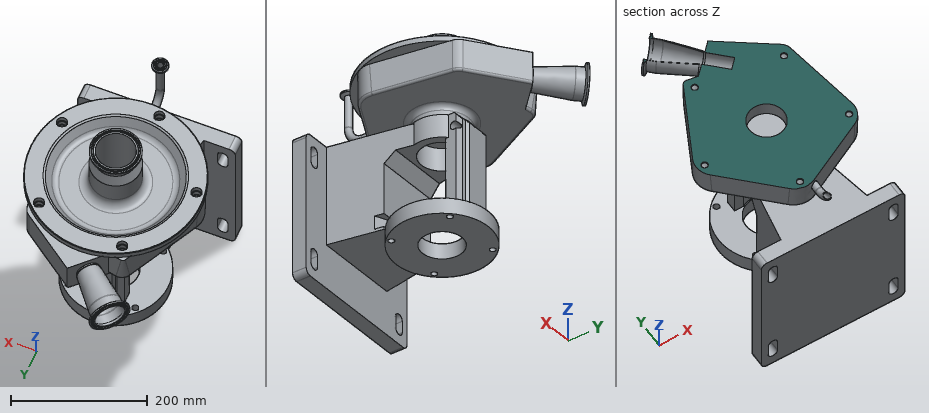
import cadquery as cq
import math


PLATE_SIZE = 250.0
PLATE_THICKNESS = 25.0
PLATE_OUTER_Y = -180.0
PLATE_INNER_Y = PLATE_OUTER_Y + PLATE_THICKNESS
PLATE_CORNER_RADIUS = 10.0
SLOT_LENGTH = 36.0
SLOT_WIDTH = 16.0
SLOT_SPACING_X = 210.0
SLOT_SPACING_Z = 180.0

LANTERN_BORE_RADIUS = 37.5
RING_RADIUS = 51.0
RING_BOTTOM_Z = 212.0
RING_TOP_Z = 252.0
RING_PORT_DIAMETER = 14.0
RING_PORT_Z = 226.0
MOTOR_FLANGE_RADIUS = 83.5
MOTOR_FLANGE_BORE_RADIUS = 35.5
MOTOR_FLANGE_BOTTOM_Z = 55.0
MOTOR_FLANGE_TOP_Z = 82.0
MOTOR_BOLT_CIRCLE_RADIUS = 75.0
MOTOR_BOLT_DIAMETER = 10.0

ARM_HALF_WIDTH_AT_PLATE = 75.0
ARM_TAPER = 0.187
ARM_BOTTOM_Z = 77.0
WINDOW_END_Y = -63.0
WINDOW_CHAMFER = 18.5
BOLT_NOTCH_LENGTH = 15.0
BOLT_NOTCH_DEPTH = 30.0
BOLT_NOTCH_HEIGHT = 23.0

POST_INNER_Y = 32.0
POST_OUTER_Y = 64.7
POST_HALF_WIDTH = 35.0
POST_RIB_HALF_WIDTH = 25.0
POST_STEP = 4.4
POST_SHOULDER_Y = 50.5
POST_TOP_CHAMFER = 17.0
POST_HOLE_DIAMETER = 14.0
POST_HOLE_Y = 47.4
POST_HOLE_Z = 229.5

CASING_BOTTOM_Z = 271.0
CASING_TOP_Z = 325.0
CASING_APOTHEM = 115.0
CASING_CORNER_RADIUS_AT_TOP = 32.0
CASING_CORNER_RADIUS_AT_BOTTOM = 37.0
CASING_BOTTOM_ROUND = 4.0
CASING_FIRST_CORNER_ANGLE = 189.0
CASING_SIDES = 5
BLOCK_SIDE_ANGLE = 54.0
BLOCK_SIDE_APOTHEM = 141.0
BLOCK_CORNER_RADIUS = 20.0
TONGUE_CORNER_RADIUS_AT_TOP = 5.0
TONGUE_CORNER_RADIUS_AT_BOTTOM = 18.0
NECK_RADIUS = 47.5
NECK_FILLET = 9.0

COVER_RADIUS = 135.0
COVER_TOP_Z = 335.0
COVER_EDGE_CHAMFER = 1.0
DISH_RIM_RADIUS = 106.5
DISH_WALL_TOP_RADIUS = 103.2
DISH_WALL_TOP_DROP = 1.6
DISH_WALL_BOTTOM_RADIUS = 93.7
DISH_WALL_BOTTOM_DROP = 13.5
DISH_FLOOR_RADIUS = 83.5
DISH_DEPTH = 17.8
COVER_BOLT_CIRCLE_RADIUS = 121.5
COVER_BOLT_RADII = [8.0, 6.5, 5.0]
COVER_BOLT_STEP_DEPTH = 8.0

CLAMP_EDGE = 2.85
CLAMP_SLOPE = math.tan(math.radians(20.0))
GASKET_GROOVE_INSET = 2.4
GASKET_GROOVE_WIDTH = 3.6
GASKET_GROOVE_DEPTH = 1.5
GASKET_GROOVE_FLANK = 0.9

INLET_TOP_Z = 403.5
INLET_CLAMP_RADIUS = 38.75
INLET_NECK_RADIUS = 32.2
INLET_BORE_RADIUS = 30.0
INLET_TUBE_RADIUS = 39.3
INLET_CONE_TOP_Z = 384.5
INLET_CONE_BOTTOM_Z = 369.0
INLET_FOOT_FILLET = 14.7
INLET_BORE_BOTTOM_Z = 290.0

OUTLET_ANGLE = 135.0
OUTLET_OFFSET = 91.8
OUTLET_FACE_DISTANCE = 200.0
OUTLET_Z = 299.0
OUTLET_CLAMP_RADIUS = 32.0
OUTLET_TUBE_RADIUS = 25.4
OUTLET_TUBE_END_DISTANCE = 180.0
OUTLET_CONE_END_DISTANCE = 118.0
OUTLET_ROOT_RADIUS = 19.0
OUTLET_COLLAR_RADIUS = 18.0
OUTLET_WALL = 1.65
OUTLET_BORE_END_DISTANCE = 70.0

DRAIN_RADIUS = 6.35
DRAIN_BORE_RADIUS = 4.7
DRAIN_Y = -169.5
DRAIN_Z = 301.0
DRAIN_BEND_RADIUS = 28.0
DRAIN_TOP_Z = 390.0
DRAIN_CLAMP_RADIUS = 12.6
DRAIN_START_Y = -110.0


def cylinder(radius, bottom_z, top_z):
    return cq.Workplane("XY").workplane(offset=bottom_z).circle(radius).extrude(top_z - bottom_z)


def cross_bar(diameter, y, z, x_from, x_to):
    return (
        cq.Workplane("YZ", origin=(x_from, y, z))
        .circle(diameter / 2)
        .extrude(x_to - x_from)
    )


def revolve_about_z(profile):
    return profile.close().revolve(360, (0, 0, 0), (0, 1, 0))


def clamp_flange(clamp_radius, tube_radius):
    """Clamp flange with its face at Z = 0 and a gasket groove in it; the back slopes to the tube."""
    groove_outer = clamp_radius - GASKET_GROOVE_INSET
    groove_inner = groove_outer - GASKET_GROOVE_WIDTH
    back = -CLAMP_EDGE - (clamp_radius - tube_radius) * CLAMP_SLOPE
    profile = (
        cq.Workplane("XZ")
        .lineTo(groove_inner, 0)
        .lineTo(groove_inner + GASKET_GROOVE_FLANK, -GASKET_GROOVE_DEPTH)
        .lineTo(groove_outer - GASKET_GROOVE_FLANK, -GASKET_GROOVE_DEPTH)
        .lineTo(groove_outer, 0)
        .lineTo(clamp_radius, 0)
        .lineTo(clamp_radius, -CLAMP_EDGE)
        .lineTo(tube_radius, back)
        .lineTo(0, back)
    )
    return revolve_about_z(profile)


def base_plate():
    centre = (0, PLATE_OUTER_Y, PLATE_SIZE / 2)
    plate = (
        cq.Workplane("XZ", origin=centre)
        .rect(PLATE_SIZE, PLATE_SIZE)
        .extrude(-PLATE_THICKNESS)
        .edges("|Y")
        .fillet(PLATE_CORNER_RADIUS)
    )
    slots = (
        cq.Workplane("XZ", origin=centre)
        .rect(SLOT_SPACING_X, SLOT_SPACING_Z, forConstruction=True)
        .vertices()
        .slot2D(SLOT_LENGTH, SLOT_WIDTH, 90)
        .extrude(-PLATE_THICKNESS)
    )
    return plate.cut(slots)


def arm_half_width(y):
    return ARM_HALF_WIDTH_AT_PLATE - ARM_TAPER * (y - PLATE_INNER_Y)


def arm():
    wide = arm_half_width(PLATE_INNER_Y)
    narrow = arm_half_width(0)
    block = (
        cq.Workplane("XY")
        .workplane(offset=ARM_BOTTOM_Z)
        .polyline([(-wide, PLATE_INNER_Y), (wide, PLATE_INNER_Y), (narrow, 0), (-narrow, 0)])
        .close()
        .extrude(PLATE_SIZE - ARM_BOTTOM_Z)
    )
    window = (
        cq.Workplane("YZ", origin=(-wide, 0, 0))
        .moveTo(WINDOW_END_Y, ARM_BOTTOM_Z)
        .lineTo(WINDOW_END_Y, RING_BOTTOM_Z - WINDOW_CHAMFER)
        .lineTo(WINDOW_END_Y + WINDOW_CHAMFER, RING_BOTTOM_Z)
        .lineTo(0, RING_BOTTOM_Z)
        .lineTo(0, ARM_BOTTOM_Z)
        .close()
        .extrude(2 * wide)
    )
    return block.cut(window).intersect(arm_envelope()).cut(bolt_notches())


def arm_envelope():
    """Stops the arm inside the ring, so that it never stands out on the far side."""
    wide = ARM_HALF_WIDTH_AT_PLATE
    behind = cq.Workplane("XY").box(2 * wide, -PLATE_INNER_Y, PLATE_SIZE, centered=(True, False, False))
    return behind.translate((0, PLATE_INNER_Y, 0))


def bolt_notches():
    """Slanting cuts in the two inner corners of the arm, above the motor bolts."""
    notches = cq.Workplane("XY")
    outer_y = WINDOW_END_Y - BOLT_NOTCH_LENGTH
    for side in (-1, 1):
        notch = (
            cq.Workplane("XY")
            .workplane(offset=MOTOR_FLANGE_TOP_Z)
            .moveTo(side * arm_half_width(outer_y), outer_y)
            .lineTo(side * arm_half_width(outer_y), WINDOW_END_Y)
            .lineTo(side * (arm_half_width(WINDOW_END_Y) - BOLT_NOTCH_DEPTH), WINDOW_END_Y)
            .close()
            .extrude(BOLT_NOTCH_HEIGHT)
        )
        notches = notches.add(notch)
    return notches.combine()


def post():
    half_section = [
        (POST_HALF_WIDTH, POST_INNER_Y),
        (POST_HALF_WIDTH, POST_SHOULDER_Y),
        (POST_RIB_HALF_WIDTH, POST_SHOULDER_Y + POST_STEP),
        (POST_RIB_HALF_WIDTH, POST_OUTER_Y - POST_STEP),
        (POST_RIB_HALF_WIDTH - POST_STEP, POST_OUTER_Y),
    ]
    other_half = [(-x, y) for x, y in reversed(half_section)]
    return (
        cq.Workplane("XY")
        .workplane(offset=MOTOR_FLANGE_TOP_Z)
        .polyline(half_section + other_half)
        .close()
        .extrude(RING_TOP_Z - MOTOR_FLANGE_TOP_Z)
        .faces(">Y")
        .edges(">Z")
        .chamfer(POST_TOP_CHAMFER)
    )


def lantern():
    ring = cylinder(RING_RADIUS, RING_BOTTOM_Z, RING_TOP_Z)
    motor_flange = cylinder(MOTOR_FLANGE_RADIUS, MOTOR_FLANGE_BOTTOM_Z, MOTOR_FLANGE_TOP_Z)
    bore = cylinder(LANTERN_BORE_RADIUS, MOTOR_FLANGE_TOP_Z, RING_TOP_Z)
    flange_bore = cylinder(MOTOR_FLANGE_BORE_RADIUS, MOTOR_FLANGE_BOTTOM_Z, MOTOR_FLANGE_TOP_Z)
    motor_bolts = (
        cq.Workplane("XY")
        .workplane(offset=MOTOR_FLANGE_BOTTOM_Z)
        .polarArray(MOTOR_BOLT_CIRCLE_RADIUS, 45, 360, 4)
        .circle(MOTOR_BOLT_DIAMETER / 2)
        .extrude(MOTOR_FLANGE_TOP_Z - MOTOR_FLANGE_BOTTOM_Z)
    )
    ring_port = cross_bar(RING_PORT_DIAMETER, 0, RING_PORT_Z, -RING_RADIUS, 0)
    post_hole = cross_bar(POST_HOLE_DIAMETER, POST_HOLE_Y, POST_HOLE_Z, -RING_RADIUS, RING_RADIUS)
    body = ring.union(post()).union(arm()).union(motor_flange)
    return body.cut(bore).cut(flange_bore).cut(motor_bolts).cut(ring_port).cut(post_hole)


def side_crossing(side, other):
    """Point where two casing sides meet; a side is the direction of its normal and its distance from the axis."""
    angle_a, distance_a = math.radians(side[0]), side[1]
    angle_b, distance_b = math.radians(other[0]), other[1]
    spread = math.sin(angle_b - angle_a)
    x = (distance_a * math.sin(angle_b) - distance_b * math.sin(angle_a)) / spread
    y = (distance_b * math.cos(angle_a) - distance_a * math.cos(angle_b)) / spread
    return (x, y)


def casing_corners():
    """Corners of the pentagon, with the block side and the outlet face put in between its sides."""
    step = 360 / CASING_SIDES
    first_normal = CASING_FIRST_CORNER_ANGLE - step / 2
    pentagon = [(first_normal + step * i, CASING_APOTHEM) for i in range(CASING_SIDES)]
    block_side = (BLOCK_SIDE_ANGLE, BLOCK_SIDE_APOTHEM)
    outlet_face = (OUTLET_ANGLE, CASING_APOTHEM)
    sides = pentagon[:-1] + [block_side, outlet_face] + pentagon[-1:]
    return [side_crossing(side, other) for side, other in zip(sides, sides[1:] + sides[:1])]


def casing_outline(z, corner_radius, tongue_radius):
    """Closed outline of the casing at height z; the two corners of the outlet face stay sharp."""
    corners = casing_corners()
    radii = [corner_radius] * 3 + [BLOCK_CORNER_RADIUS, 0, 0, tongue_radius]
    slab = cq.Workplane("XY").workplane(offset=z).polyline(corners).close().extrude(1)
    for (x, y), radius in zip(corners, radii):
        if radius > 0:
            slab = slab.edges(cq.selectors.NearestToPointSelector((x, y, z + 0.5))).fillet(radius)
    return slab.faces("<Z").wires().val()


def on_outlet_face(edge):
    middle = edge.Center()
    angle = math.radians(OUTLET_ANGLE)
    distance = middle.x * math.cos(angle) + middle.y * math.sin(angle)
    return abs(distance - CASING_APOTHEM) < 0.01


def casing():
    bottom = casing_outline(CASING_BOTTOM_Z, CASING_CORNER_RADIUS_AT_BOTTOM, TONGUE_CORNER_RADIUS_AT_BOTTOM)
    top = casing_outline(CASING_TOP_Z, CASING_CORNER_RADIUS_AT_TOP, TONGUE_CORNER_RADIUS_AT_TOP)
    body = cq.Workplane(cq.Solid.makeLoft([bottom, top], True))
    bottom_edges = body.faces("<Z").edges().filter(lambda edge: not on_outlet_face(edge))
    return bottom_edges.fillet(CASING_BOTTOM_ROUND)


def back_neck():
    """Neck between the lantern ring and the casing, flared where it meets the casing."""
    profile = (
        cq.Workplane("XZ")
        .moveTo(0, RING_TOP_Z)
        .lineTo(NECK_RADIUS, RING_TOP_Z)
        .lineTo(NECK_RADIUS, CASING_BOTTOM_Z - NECK_FILLET)
        .radiusArc((NECK_RADIUS + NECK_FILLET, CASING_BOTTOM_Z), NECK_FILLET)
        .lineTo(0, CASING_BOTTOM_Z)
    )
    return revolve_about_z(profile)


def cover():
    return cylinder(COVER_RADIUS, CASING_TOP_Z, COVER_TOP_Z).faces(">Z").edges().chamfer(COVER_EDGE_CHAMFER)


def cover_dish():
    """Ring-shaped recess in the cover around the inlet, with a rounded foot up to the inlet tube."""
    floor_z = COVER_TOP_Z - DISH_DEPTH
    profile = (
        cq.Workplane("XZ")
        .moveTo(DISH_RIM_RADIUS, COVER_TOP_Z)
        .lineTo(DISH_WALL_TOP_RADIUS, COVER_TOP_Z - DISH_WALL_TOP_DROP)
        .lineTo(DISH_WALL_BOTTOM_RADIUS, COVER_TOP_Z - DISH_WALL_BOTTOM_DROP)
        .tangentArcPoint((DISH_FLOOR_RADIUS, floor_z), relative=False)
        .lineTo(INLET_TUBE_RADIUS + INLET_FOOT_FILLET, floor_z)
        .radiusArc((INLET_TUBE_RADIUS, floor_z + INLET_FOOT_FILLET), INLET_FOOT_FILLET)
        .lineTo(INLET_TUBE_RADIUS, COVER_TOP_Z)
    )
    return revolve_about_z(profile)


def cover_bolt_holes():
    """Stepped holes, one over each corner of the casing, ending in a drill point."""
    profile = cq.Workplane("XZ")
    depth = 0
    for radius in COVER_BOLT_RADII:
        profile = profile.lineTo(radius, -depth)
        depth += COVER_BOLT_STEP_DEPTH
        profile = profile.lineTo(radius, -depth)
    profile = profile.lineTo(0, -depth - COVER_BOLT_RADII[-1])
    hole = revolve_about_z(profile).translate((COVER_BOLT_CIRCLE_RADIUS, 0, COVER_TOP_Z))
    holes = cq.Workplane("XY")
    for i in range(CASING_SIDES):
        angle = CASING_FIRST_CORNER_ANGLE + i * 360 / CASING_SIDES
        holes = holes.add(hole.rotate((0, 0, 0), (0, 0, 1), angle))
    return holes.combine()


def inlet():
    profile = (
        cq.Workplane("XZ")
        .moveTo(0, CASING_TOP_Z)
        .lineTo(INLET_TUBE_RADIUS, CASING_TOP_Z)
        .lineTo(INLET_TUBE_RADIUS, INLET_CONE_BOTTOM_Z)
        .lineTo(INLET_NECK_RADIUS, INLET_CONE_TOP_Z)
        .lineTo(INLET_NECK_RADIUS, INLET_TOP_Z - CLAMP_EDGE)
        .lineTo(0, INLET_TOP_Z - CLAMP_EDGE)
    )
    flange = clamp_flange(INLET_CLAMP_RADIUS, INLET_NECK_RADIUS).translate((0, 0, INLET_TOP_Z))
    return revolve_about_z(profile).union(flange)


def place_outlet(shape):
    """Moves a shape built along Z onto the outlet axis; heights become distances along that axis."""
    along_x = shape.rotate((0, 0, 0), (0, 1, 0), 90).translate((0, -OUTLET_OFFSET, OUTLET_Z))
    return along_x.rotate((0, 0, 0), (0, 0, 1), OUTLET_ANGLE)


def outlet():
    profile = (
        cq.Workplane("XZ")
        .moveTo(0, CASING_APOTHEM)
        .lineTo(OUTLET_COLLAR_RADIUS, CASING_APOTHEM)
        .lineTo(OUTLET_COLLAR_RADIUS, OUTLET_CONE_END_DISTANCE)
        .lineTo(OUTLET_ROOT_RADIUS, OUTLET_CONE_END_DISTANCE)
        .lineTo(OUTLET_TUBE_RADIUS, OUTLET_TUBE_END_DISTANCE)
        .lineTo(OUTLET_TUBE_RADIUS, OUTLET_FACE_DISTANCE - CLAMP_EDGE)
        .lineTo(0, OUTLET_FACE_DISTANCE - CLAMP_EDGE)
    )
    flange = clamp_flange(OUTLET_CLAMP_RADIUS, OUTLET_TUBE_RADIUS).translate((0, 0, OUTLET_FACE_DISTANCE))
    return place_outlet(revolve_about_z(profile).union(flange))


def outlet_bore():
    wide = OUTLET_TUBE_RADIUS - OUTLET_WALL
    narrow = OUTLET_ROOT_RADIUS - OUTLET_WALL
    profile = (
        cq.Workplane("XZ")
        .moveTo(0, OUTLET_BORE_END_DISTANCE)
        .lineTo(narrow, OUTLET_BORE_END_DISTANCE)
        .lineTo(narrow, OUTLET_CONE_END_DISTANCE)
        .lineTo(wide, OUTLET_TUBE_END_DISTANCE)
        .lineTo(wide, OUTLET_FACE_DISTANCE)
        .lineTo(0, OUTLET_FACE_DISTANCE)
    )
    return place_outlet(revolve_about_z(profile))


def drain_rod(radius, top_z):
    """Round rod along the drain: out of the casing, round a bend and straight up."""
    path = (
        cq.Workplane("YZ")
        .moveTo(DRAIN_START_Y, DRAIN_Z)
        .lineTo(DRAIN_Y + DRAIN_BEND_RADIUS, DRAIN_Z)
        .tangentArcPoint((DRAIN_Y, DRAIN_Z + DRAIN_BEND_RADIUS), relative=False)
        .lineTo(DRAIN_Y, top_z)
    )
    return cq.Workplane("XZ", origin=(0, DRAIN_START_Y, DRAIN_Z)).circle(radius).sweep(path)


def drain():
    flange = clamp_flange(DRAIN_CLAMP_RADIUS, DRAIN_RADIUS).translate((0, DRAIN_Y, DRAIN_TOP_Z))
    return drain_rod(DRAIN_RADIUS, DRAIN_TOP_Z - CLAMP_EDGE).union(flange)


pump = casing().union(back_neck()).union(cover()).cut(cover_dish()).cut(cover_bolt_holes())
pump = pump.union(inlet().cut(cover_dish())).union(outlet()).union(drain())
inlet_bore = cylinder(INLET_BORE_RADIUS, INLET_BORE_BOTTOM_Z, INLET_TOP_Z)
pump = pump.cut(inlet_bore).cut(outlet_bore()).cut(drain_rod(DRAIN_BORE_RADIUS, DRAIN_TOP_Z))

result = pump.union(lantern()).union(base_plate())